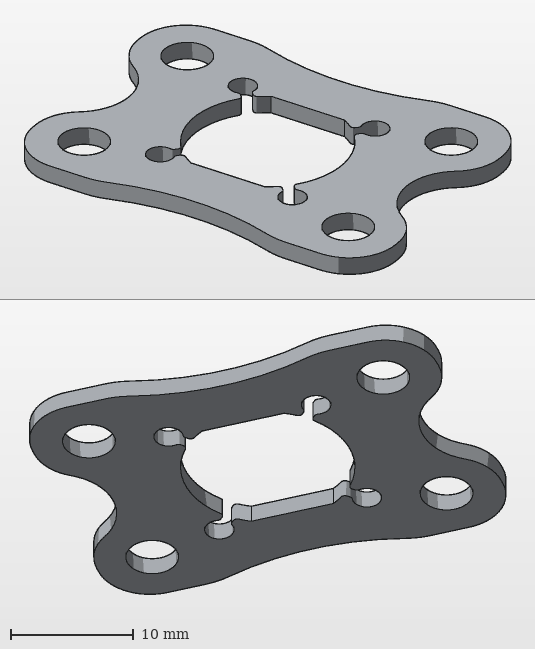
import cadquery as cq
import math

LENGTH = 34.925
WIDTH = 25.4
THICKNESS = 1.5875

CORNER_RADIUS = 4.445
EAR_CENTER_Y = 7.85
END_SCALLOP_RADIUS = 5.08
SIDE_SCALLOP_RADIUS = 25.0
SIDE_SCALLOP_DEPTH = 1.51
SIDE_BLEND_RADIUS = 6.5

MOUNT_HOLE_DIAMETER = 4.305
MOUNT_HOLE_X = 12.7
MOUNT_HOLE_Y = 7.9375

WINDOW_RADIUS = 7.115
WINDOW_HEIGHT = 12.35
RELIEF_HOLE_DIAMETER = 2.4
RELIEF_HOLE_OFFSET = 6.364
SLOT_WIDTH = 1.0
LIP_FILLET = 0.38

HALF_LENGTH = LENGTH / 2
HALF_WIDTH = WIDTH / 2
QUADRANT_SIGNS = [(1, 1), (-1, 1), (-1, -1), (1, -1)]


def point_toward(start, target, distance):
    """Point at the given distance from start on the way to target."""
    scale = distance / math.dist(start, target)
    return (
        start[0] + scale * (target[0] - start[0]),
        start[1] + scale * (target[1] - start[1]),
    )


def quarter_plate():
    """Plate material in the +X +Y quadrant; neighbouring arcs are tangent."""
    ear_center = (HALF_LENGTH - CORNER_RADIUS, EAR_CENTER_Y)
    end_reach = CORNER_RADIUS + END_SCALLOP_RADIUS
    end_center = (ear_center[0] + math.sqrt(end_reach**2 - EAR_CENTER_Y**2), 0)
    ear_end = point_toward(ear_center, end_center, CORNER_RADIUS)
    end_bottom_x = end_center[0] - END_SCALLOP_RADIUS

    side_bottom_y = HALF_WIDTH - SIDE_SCALLOP_DEPTH
    side_center = (0, side_bottom_y + SIDE_SCALLOP_RADIUS)
    blend_center_y = HALF_WIDTH - SIDE_BLEND_RADIUS
    side_reach = SIDE_SCALLOP_RADIUS + SIDE_BLEND_RADIUS
    blend_x = math.sqrt(side_reach**2 - (side_center[1] - blend_center_y) ** 2)
    blend_end = point_toward((blend_x, blend_center_y), side_center, SIDE_BLEND_RADIUS)

    return (
        cq.Workplane("XY")
        .lineTo(end_bottom_x, 0)
        .radiusArc(ear_end, END_SCALLOP_RADIUS)
        .radiusArc((HALF_LENGTH, EAR_CENTER_Y), -CORNER_RADIUS)
        .lineTo(HALF_LENGTH, HALF_WIDTH - CORNER_RADIUS)
        .radiusArc((HALF_LENGTH - CORNER_RADIUS, HALF_WIDTH), -CORNER_RADIUS)
        .lineTo(blend_x, HALF_WIDTH)
        .radiusArc(blend_end, -SIDE_BLEND_RADIUS)
        .radiusArc((0, side_bottom_y), SIDE_SCALLOP_RADIUS)
        .close()
        .extrude(THICKNESS)
    )


def plate():
    """Full plate, mirrored from one quadrant."""
    quarter = quarter_plate()
    half = quarter.union(quarter.mirror("YZ"))
    return half.union(half.mirror("XZ")).clean()


def mount_holes():
    """Cutters for the four mounting holes."""
    centers = [(sx * MOUNT_HOLE_X, sy * MOUNT_HOLE_Y) for sx, sy in QUADRANT_SIGNS]
    return (
        cq.Workplane("XY")
        .pushPoints(centers)
        .circle(MOUNT_HOLE_DIAMETER / 2)
        .extrude(THICKNESS)
    )


def window():
    """Cutter for the flattened disc with its diagonal slots and relief holes."""
    disc = cq.Workplane("XY").circle(WINDOW_RADIUS).extrude(THICKNESS)
    flats = (
        cq.Workplane("XY")
        .rect(2 * WINDOW_RADIUS, WINDOW_HEIGHT)
        .extrude(THICKNESS)
    )
    cutter = disc.intersect(flats)

    relief_centers = [
        (sx * RELIEF_HOLE_OFFSET, sy * RELIEF_HOLE_OFFSET) for sx, sy in QUADRANT_SIGNS
    ]
    relief_holes = (
        cq.Workplane("XY")
        .pushPoints(relief_centers)
        .circle(RELIEF_HOLE_DIAMETER / 2)
        .extrude(THICKNESS)
    )
    cutter = cutter.union(relief_holes)

    slot_length = 2 * math.hypot(RELIEF_HOLE_OFFSET, RELIEF_HOLE_OFFSET)
    for angle in (45, -45):
        slot = (
            cq.Workplane("XY")
            .transformed(rotate=(0, 0, angle))
            .rect(slot_length, SLOT_WIDTH)
            .extrude(THICKNESS)
        )
        cutter = cutter.union(slot)
    return cutter


def slot_wall_edges(body):
    """Upright edges at both ends of every slot wall, half a slot width off a diagonal."""
    tolerance = 0.01

    def on_slot_wall(edge):
        center = edge.Center()
        diagonal_gap = abs(abs(center.x) - abs(center.y)) / math.sqrt(2)
        return abs(diagonal_gap - SLOT_WIDTH / 2) < tolerance

    edges = body.edges("|Z").vals()
    return body.newObject([edge for edge in edges if on_slot_wall(edge)])


body = plate().cut(mount_holes()).cut(window())
result = slot_wall_edges(body).fillet(LIP_FILLET)